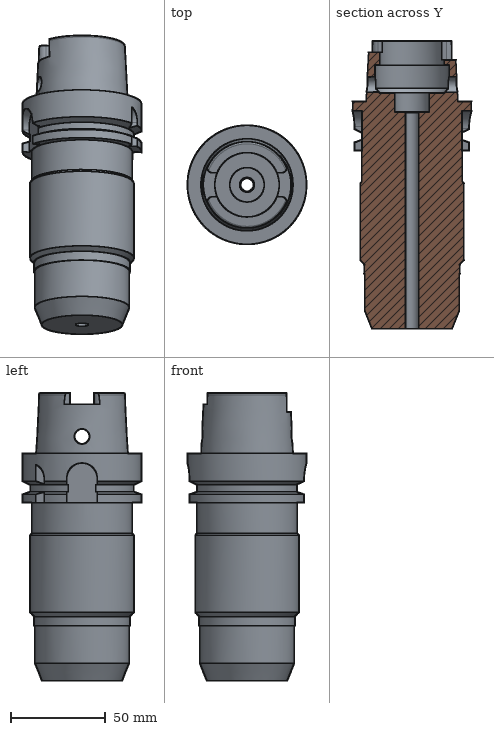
import cadquery as cq
import math


shank_length = 32.0
taper_ratio = 1 / 20
taper_base_radius = 24.35
rim_rounding = 1.0

flange_radius = 31.5
flange_height = 26.0
groove_radius = 27.5
groove_top = -14.6
groove_floor_top = -16.6
groove_floor_bottom = -20.1
groove_bottom = -21.6

nose_tip = -120.0
neck_radius = 26.6
neck_bottom = -42.1
body_radius = 27.5
body_top = -43.3
body_bottom = -83.8
body_end_radius = 25.2
ring_radius = 25.4
ring_top = -86.2
ring_bottom = -91.0
nose_radius = 25.0
nose_taper_top = -110.7
nose_tip_radius = 21.3

mouth_radius = 17.0
mouth_bottom = 19.2
chamber_radius = 19.5
chamber_wall_bottom = 7.0
chamber_floor = 4.5
pipe_bore_radius = 9.1
pipe_bore_depth = 10.0
channel_radius = 3.4
channel_chamfer = 0.5

rim_slot_width = 12.5
rim_slot_depth_left = 6.0
rim_slot_depth_right = 10.0
rim_slot_corner_radius = 3.0
rim_slot_mouth = 21.0

cross_hole_radius = 3.9
cross_hole_height = 9.0

keyway_width_left = 16.0
keyway_width_right = 18.0
keyway_top = -5.0
keyway_floor = 26.5
notch_wall = 20.0


def taper_radius(height):
    return taper_base_radius - taper_ratio * height


def make_body():
    rounding_start = shank_length - rim_rounding
    rim_radius = taper_radius(rounding_start)
    rim_flat_radius = rim_radius - rim_rounding
    arc_middle = (
        rim_flat_radius + rim_rounding * math.sin(math.pi / 4),
        rounding_start + rim_rounding * math.cos(math.pi / 4),
    )
    below_rim = [
        (taper_base_radius, 0),
        (flange_radius, 0),
        (flange_radius, groove_top),
        (groove_radius, groove_floor_top),
        (groove_radius, groove_floor_bottom),
        (flange_radius, groove_bottom),
        (flange_radius, -flange_height),
        (neck_radius, -flange_height),
        (neck_radius, neck_bottom),
        (body_radius, body_top),
        (body_radius, body_bottom),
        (body_end_radius, ring_top),
        (ring_radius, ring_top),
        (ring_radius, ring_bottom),
        (nose_radius, ring_bottom),
        (nose_radius, nose_taper_top),
        (nose_tip_radius, nose_tip),
        (0, nose_tip),
    ]
    return (
        cq.Workplane("XZ")
        .moveTo(0, shank_length)
        .lineTo(rim_flat_radius, shank_length)
        .threePointArc(arc_middle, (rim_radius, rounding_start))
        .polyline(below_rim, includeCurrent=True)
        .close()
        .revolve(360, (0, 0), (0, 1))
    )


def make_bores():
    pipe_bore_floor = chamber_floor - pipe_bore_depth
    outline = [
        (0, shank_length),
        (mouth_radius, shank_length),
        (mouth_radius, mouth_bottom),
        (chamber_radius, mouth_bottom),
        (chamber_radius, chamber_wall_bottom),
        (mouth_radius, chamber_floor),
        (pipe_bore_radius, chamber_floor),
        (pipe_bore_radius, pipe_bore_floor),
        (channel_radius + channel_chamfer, pipe_bore_floor),
        (channel_radius, pipe_bore_floor - channel_chamfer),
        (channel_radius, nose_tip),
        (0, nose_tip),
    ]
    return cq.Workplane("XZ").polyline(outline).close().revolve(360, (0, 0), (0, 1))


def make_rim_slot(side, depth):
    """Slot through the rim on one side (-1 or +1 along X), with its walls rounded off towards the outside."""
    half_width = rim_slot_width / 2
    radius = rim_slot_corner_radius
    arc_start_x = rim_slot_mouth - radius
    arc_end_y = half_width + radius
    arc_middle_x = arc_start_x + radius * math.sin(math.pi / 4)
    arc_middle_y = arc_end_y - radius * math.cos(math.pi / 4)
    half = (
        cq.Workplane("XY", origin=(0, 0, shank_length - depth))
        .lineTo(side * flange_radius, 0)
        .lineTo(side * flange_radius, taper_base_radius)
        .lineTo(side * rim_slot_mouth, taper_base_radius)
        .lineTo(side * rim_slot_mouth, arc_end_y)
        .threePointArc((side * arc_middle_x, arc_middle_y), (side * arc_start_x, half_width))
        .lineTo(0, half_width)
        .close()
        .extrude(depth)
    )
    return half.union(half.mirror("XZ"))


def make_cross_hole():
    return (
        cq.Workplane("YZ", origin=(-flange_radius, 0, 0))
        .center(0, cross_hole_height)
        .circle(cross_hole_radius)
        .extrude(2 * flange_radius)
    )


def make_keyway(side, width, floor_distance, centre_y=0):
    """Round-topped keyway cut inward along X, open at the flange underside."""
    radius = width / 2
    arch_base = keyway_top - radius
    return (
        cq.Workplane("YZ", origin=(side * floor_distance, centre_y, 0))
        .moveTo(-radius, -flange_height)
        .lineTo(-radius, arch_base)
        .threePointArc((0, keyway_top), (radius, arch_base))
        .lineTo(radius, -flange_height)
        .close()
        .extrude(side * flange_radius)
    )


result = (
    make_body()
    .cut(make_bores())
    .cut(make_rim_slot(-1, rim_slot_depth_left))
    .cut(make_rim_slot(1, rim_slot_depth_right))
    .cut(make_cross_hole())
    .cut(make_keyway(-1, keyway_width_left, keyway_floor))
    .cut(make_keyway(1, keyway_width_right, keyway_floor))
    .cut(make_keyway(-1, keyway_width_left, notch_wall, notch_wall + keyway_width_left / 2))
)